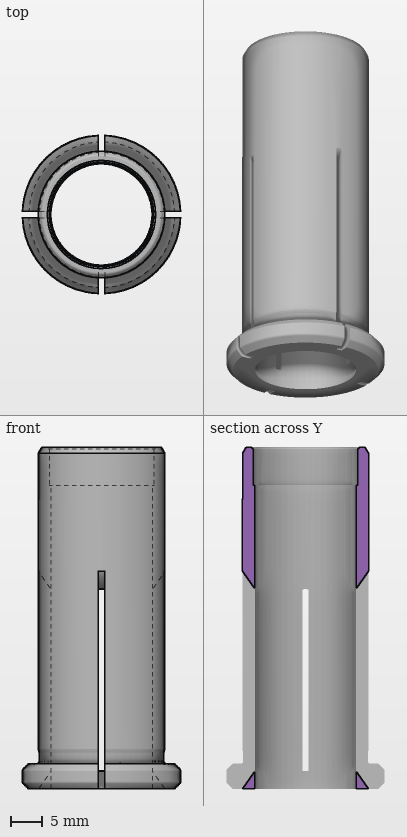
import cadquery as cq
import math

total_height = 54.0
tube_radius = 10.0
bore_radius = 8.0
edge_rounding = 0.4

flange_radius = 12.5
flange_height = 4.0
flange_chamfer = 1.0
chamfered_flange_radius = flange_radius - flange_chamfer

groove_radius = 9.85
groove_top = 6.3
groove_taper_angle = 15.0
groove_taper_height = (tube_radius - groove_radius) / math.tan(math.radians(groove_taper_angle))

lead_in_height = 1.0
lead_in_angle = 30.0
lead_in_radius = tube_radius - lead_in_height * math.tan(math.radians(lead_in_angle))
counterbore_radius = 8.25
counterbore_depth = 6.0
counterbore_chamfer = 0.3

slot_count = 4
slot_width = 1.0
slot_bottom = 0.0
slot_top = 34.4
slot_end_angle = 55.0
slot_overcut = 1.0

edge_tolerance = 0.001


def make_solid_of_revolution():
    counterbore_floor = total_height - counterbore_depth
    profile = (
        cq.Workplane("XZ")
        .moveTo(bore_radius, 0)
        .lineTo(chamfered_flange_radius, 0)
        .lineTo(flange_radius, flange_chamfer)
        .lineTo(flange_radius, flange_height - flange_chamfer)
        .lineTo(chamfered_flange_radius, flange_height)
        .lineTo(groove_radius, flange_height)
        .lineTo(groove_radius, groove_top - groove_taper_height)
        .lineTo(tube_radius, groove_top)
        .lineTo(tube_radius, total_height - lead_in_height)
        .lineTo(lead_in_radius, total_height)
        .lineTo(counterbore_radius + counterbore_chamfer, total_height)
        .lineTo(counterbore_radius, total_height - counterbore_chamfer)
        .lineTo(counterbore_radius, counterbore_floor)
        .lineTo(bore_radius, counterbore_floor)
        .close()
    )
    return profile.revolve(360, (0, 0, 0), (0, 1, 0))


def round_circular_edge(body, radius, height):
    def is_wanted(edge):
        if edge.geomType() != "CIRCLE":
            return False
        radius_error = abs(edge.radius() - radius)
        height_error = abs(edge.startPoint().z - height)
        return max(radius_error, height_error) < edge_tolerance

    return body.edges().filter(is_wanted).fillet(edge_rounding)


def round_edges(body):
    rounded_edges = [
        (flange_radius, flange_chamfer),
        (flange_radius, flange_height - flange_chamfer),
        (chamfered_flange_radius, flange_height),
        (groove_radius, flange_height),
        (lead_in_radius, total_height),
    ]
    for radius, height in rounded_edges:
        body = round_circular_edge(body, radius, height)
    return body


def make_slot_cutter():
    inner_radius = bore_radius - slot_overcut
    outer_radius = flange_radius + slot_overcut
    end_slope = math.tan(math.radians(slot_end_angle))
    inner_shortening = (tube_radius - inner_radius) * end_slope
    outer_lengthening = (outer_radius - tube_radius) * end_slope
    outline = [
        (inner_radius, slot_bottom + inner_shortening),
        (outer_radius, slot_bottom - outer_lengthening),
        (outer_radius, slot_top + outer_lengthening),
        (inner_radius, slot_top - inner_shortening),
    ]
    return cq.Workplane("XZ").polyline(outline).close().extrude(slot_width / 2, both=True)


def cut_slots(body):
    cutter = make_slot_cutter()
    for index in range(slot_count):
        angle = index * 360 / slot_count
        body = body.cut(cutter.rotate((0, 0, 0), (0, 0, 1), angle))
    return body


sleeve = make_solid_of_revolution()
sleeve = round_edges(sleeve)
result = cut_slots(sleeve)